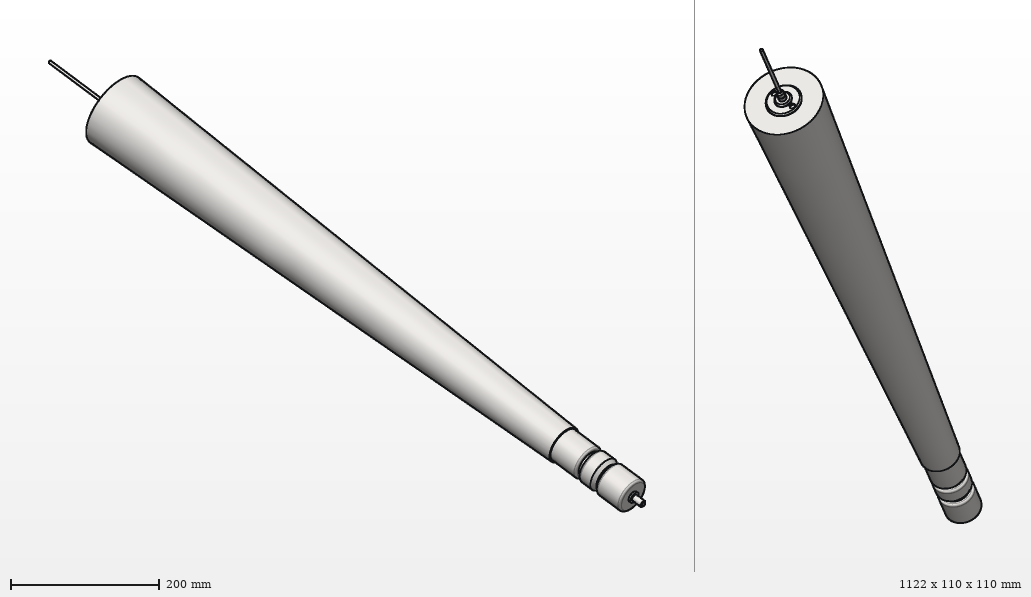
import cadquery as cq

total_length = 1122.0

rod_diameter = 5.0
collar_start = 100.0
collar_diameter = 10.0
collar_chamfer = 2.0
nut_start = 109.0
nut_diameter = 11.0
hub_start = 116.0
hub_diameter = 25.0
hub_chamfer = 2.0
flange_start = 119.0
flange_diameter = 50.0
flange_chamfer = 2.0

screw_hole_diameter = 8.0
screw_circle_diameter = 36.0
screw_diagonal_angle = 45

body_start = 122.0
base_diameter = 110.0
section_length = 100.0
equal_section_count = 7
last_section_length = 150.0
taper_end_diameter = 56.0

neck_diameter = 52.0
neck_end = 1102.0
shoulder_radius = 3.0
groove_diameter = 39.0
first_groove_start = 1019.0
first_groove_end = 1024.0
second_groove_start = 1054.0
second_groove_end = 1057.0
slope_length = 7.0
slope_end_diameter = 43.0

boss_diameter = 17.0
boss_length = 3.0
pin_diameter = 10.0
pin_chamfer = 1.0


def cylinder(outline, start, end, diameter):
    """Step to the given diameter, then run straight along the axis."""
    return outline.lineTo(start, diameter / 2).lineTo(end, diameter / 2)


def front_chamfered_cylinder(outline, start, end, diameter, chamfer):
    """Add a cylinder whose front edge is chamfered."""
    outline = outline.lineTo(start, diameter / 2 - chamfer)
    return cylinder(outline, start + chamfer, end, diameter)


def rising_shoulder(outline, start):
    """Round the front edge of a neck segment that begins at start."""
    outer = neck_diameter / 2
    outline = outline.lineTo(start, outer - shoulder_radius)
    return outline.radiusArc((start + shoulder_radius, outer), shoulder_radius)


def falling_shoulder(outline, end):
    """Round the rear edge of a neck segment that finishes at end."""
    outer = neck_diameter / 2
    outline = outline.lineTo(end - shoulder_radius, outer)
    return outline.radiusArc((end, outer - shoulder_radius), shoulder_radius)


def flange_and_lead(outline):
    outline = cylinder(outline, 0, collar_start, rod_diameter)
    outline = front_chamfered_cylinder(
        outline, collar_start, nut_start, collar_diameter, collar_chamfer
    )
    outline = cylinder(outline, nut_start, hub_start, nut_diameter)
    outline = front_chamfered_cylinder(
        outline, hub_start, flange_start, hub_diameter, hub_chamfer
    )
    return front_chamfered_cylinder(
        outline, flange_start, body_start, flange_diameter, flange_chamfer
    )


def tapered_body(outline):
    """Add the cone sections, with a joint at the end of each one."""
    equal_length = equal_section_count * section_length
    taper_length = equal_length + last_section_length
    slope = (base_diameter - taper_end_diameter) / 2 / taper_length
    joints = [i * section_length for i in range(equal_section_count + 1)]
    joints.append(taper_length)
    for joint in joints:
        outline = outline.lineTo(body_start + joint, base_diameter / 2 - slope * joint)
    return outline.lineTo(body_start + taper_length, neck_diameter / 2)


def grooved_neck(outline):
    outline = falling_shoulder(outline, first_groove_start)
    outline = cylinder(outline, first_groove_start, first_groove_end, groove_diameter)
    outline = rising_shoulder(outline, first_groove_end)
    outline = outline.lineTo(second_groove_start - slope_length, neck_diameter / 2)
    outline = outline.lineTo(second_groove_start, slope_end_diameter / 2)
    outline = cylinder(outline, second_groove_start, second_groove_end, groove_diameter)
    outline = rising_shoulder(outline, second_groove_end)
    return falling_shoulder(outline, neck_end)


def boss_and_pin(outline):
    boss_end = neck_end + boss_length
    outline = cylinder(outline, neck_end, boss_end, boss_diameter)
    outline = cylinder(outline, boss_end, total_length - pin_chamfer, pin_diameter)
    return outline.lineTo(total_length, pin_diameter / 2 - pin_chamfer)


def screw_holes():
    """Blind holes as deep as the flange is thick."""
    offset = screw_circle_diameter / 2
    return (
        cq.Workplane("YZ", origin=(flange_start, 0, 0))
        .transformed(rotate=(0, 0, screw_diagonal_angle))
        .pushPoints([(-offset, 0), (offset, 0)])
        .circle(screw_hole_diameter / 2)
        .extrude(body_start - flange_start)
    )


half_outline = cq.Workplane("XY").moveTo(0, 0)
for add_feature in (flange_and_lead, tapered_body, grooved_neck, boss_and_pin):
    half_outline = add_feature(half_outline)
half_outline = half_outline.lineTo(total_length, 0).close()

body = half_outline.revolve(360, (0, 0, 0), (1, 0, 0))
result = body.cut(screw_holes())